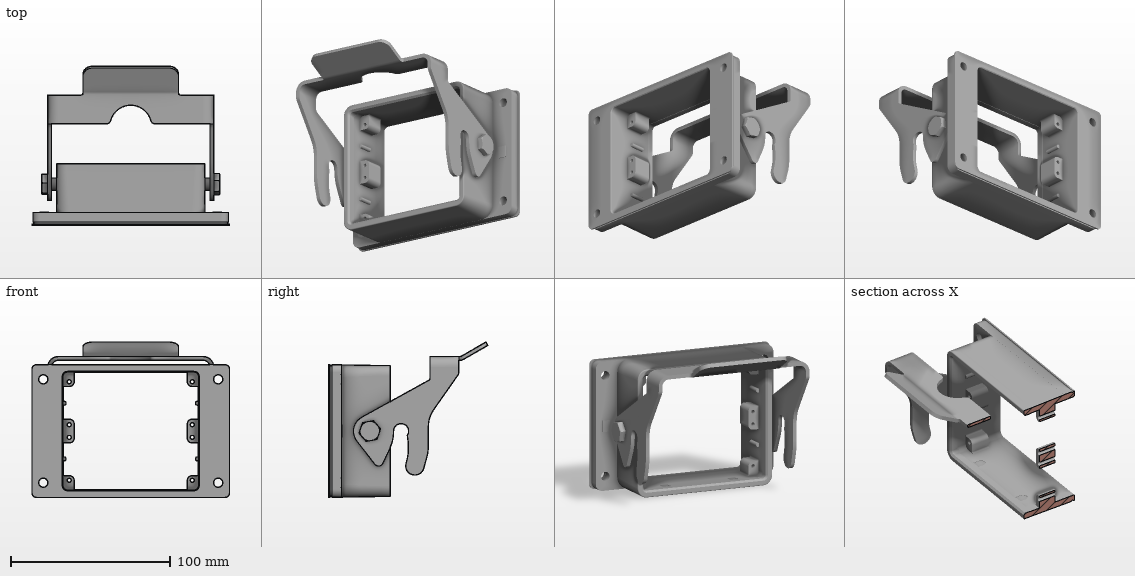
import cadquery as cq
import math

PLATE_WIDTH = 124.4
PLATE_HEIGHT = 83.6
PLATE_THICKNESS = 1.0
PLATE_CORNER_R = 3.0
GROOVE_WIDTH = 1.0
GROOVE_INSET = 0.6
RIM_WIDTH = 123.2
RIM_HEIGHT = 83.4
RIM_CORNER_R = 4.8
RIM_BACK_Y = 8.1
FLANGE_HOLE_X = 55.0
FLANGE_HOLE_Z = 32.5
FLANGE_HOLE_D = 5.6
FLANGE_HOLE_BACK_D = 5.8
PAD_WIDTH = 5.3
PAD_LENGTH = 7.4
PAD_HEIGHT = 0.4
PAD_CENTER_X = 54.5

BOX_FRONT_WIDTH = 93.4
BOX_BACK_WIDTH = 93.3
BOX_FRONT_HEIGHT = 83.3
BOX_BACK_HEIGHT = 82.5
BOX_FRONT_CORNER_R = 7.8
BOX_BACK_CORNER_R = 6.4
COLLAR_FRONT_Y = 33.6
BOX_BACK_Y = 38.8
BACK_EDGE_R = 0.6

CAVITY_WIDTH = 85.2
CAVITY_HEIGHT = 74.2
CAVITY_CORNER_R = 3.0
MOUTH_CHAMFER = 0.5
COLLAR_LIP = 0.2
COLLAR_LIP_RAMP = 1.2
BACK_MOUTH_CHAMFER = 1.2
COLLAR_CORNER_R = 2.0
RECESS_X = 23.4
RECESS_END_Y = 28.6
RECESS_R = 2.8
RECESS_DEPTH = 0.3

BOSS_INNER_X = 35.5
BOSS_FRONT_Y = 14.5
BOSS_BACK_Y = 27.0
BOSS_CORNER_R = 3.0
BOSS_FOOT_R = 1.0
BOSS_HOLE_X = 38.7
BOSS_HOLE_D = 2.4
MID_BOSS_HALF_HEIGHT = 7.5
MID_BOSS_HOLE_Z = 4.0
CORNER_BOSS_EDGE_Z = 28.0
CORNER_BOSS_HOLE_Z = 31.0
RIB_Z = 17.5
RIB_R = 1.3
RIB_TIP_X = 40.6
RIB_FRONT_Y = 17.6
RIB_LENGTH = 10.0
WALL_OVERLAP = 1.0

SHEET = 2.5
LEVER_HALF_WIDTH = 52.3
LEVER_TOP_Z = 46.9
LEVER_BEND_R = 6.8
BRIDGE_FRONT_Y = 63.75
BRIDGE_BACK_Y = 81.95
NOTCH_R = 13.0
NOTCH_CENTER_Y = 62.5
NOTCH_EDGE_R = 3.0
TAB_WIDTH = 60.2
TAB_ANGLE = 30.0
TAB_TOP_Z = 56.01
TAB_BEND_R = 2.6
TAB_ROOT_Y = 83.13
TAB_CORNER_R = 6.0
TAB_RELIEF_R = 1.5

PIVOT_Y = 25.9
PIVOT_LOBE_R = 10.0
SHAFT_D = 8.0
HEAD_ACROSS_FLATS = 12.0
HEAD_HEIGHT = 3.7
HEAD_CHAMFER_DEPTH = 0.5
HEAD_CHAMFER_INSET = 0.75
LEFT_HEAD_TURN = 24.0
RIGHT_HEAD_TURN = 11.0

CHEEK_CORNERS = [
    (BRIDGE_FRONT_Y, LEVER_TOP_Z, 0),
    (BRIDGE_FRONT_Y, 32.4, 1.5),
    (10.6, 3.0, PIVOT_LOBE_R),
    (32.0, -24.75, 3.0),
    (40.6, -6.6, 25.0),
    (41.2, 4.5, 4.3),
    (50.2, 4.5, 4.3),
    (50.2, -1.2, 0.5),
    (49.4, -2.8, 0.5),
    (50.0, -7.0, 8.0),
    (50.0, -14.5, 15.0),
    (47.0, -27.7, 5.7),
    (58.7, -27.7, 5.7),
    (62.8, -13.0, 30.0),
    (62.8, 8.7, 18.0),
    (BRIDGE_BACK_Y, 36.0, 4.0),
    (BRIDGE_BACK_Y, LEVER_TOP_Z, 0),
]


def block(x0, x1, y0, y1, z0, z1):
    """Axis-aligned block given by its limits."""
    size = (x1 - x0, y1 - y0, z1 - z0)
    return cq.Workplane("XY").box(*size, centered=False).translate((x0, y0, z0))


def rounded_slab(width, height, radius, y0, y1):
    """Rounded rectangle in XZ, centred on the Y axis, from y0 to y1."""
    return block(-width / 2, width / 2, y0, y1, -height / 2, height / 2).edges("|Y").fillet(radius)


def rod_y(x, z, diameter, y0, y1):
    """Cylinder along Y."""
    return cq.Workplane("XZ", origin=(x, y0, z)).circle(diameter / 2).extrude(y0 - y1)


def rounded_outline(plane, corners):
    """Closed wire through the corners, each rounded by a tangent arc of its own radius.

    The first corner is sharp.
    """
    points = [cq.Vector(a, b) for a, b, _ in corners]
    stretches = []
    for i, (_, _, radius) in enumerate(corners):
        corner = points[i]
        to_previous = (points[i - 1] - corner).normalized()
        to_next = (points[(i + 1) % len(points)] - corner).normalized()
        if radius == 0:
            stretches.append((corner,))
            continue
        half_angle = to_previous.getAngle(to_next) / 2
        setback = radius / math.tan(half_angle)
        bisector = (to_previous + to_next).normalized()
        middle = corner + bisector * (radius / math.sin(half_angle) - radius)
        stretches.append((corner + to_previous * setback, middle, corner + to_next * setback))

    outline = plane.moveTo(*stretches[0][0].toTuple()[:2])
    for stretch in stretches[1:]:
        outline = outline.lineTo(*stretch[0].toTuple()[:2])
        if len(stretch) == 3:
            outline = outline.threePointArc(stretch[1].toTuple()[:2], stretch[2].toTuple()[:2])
    return outline.close()


def make_flange():
    groove_end = PLATE_THICKNESS + GROOVE_WIDTH
    plate = rounded_slab(PLATE_WIDTH, PLATE_HEIGHT, PLATE_CORNER_R, 0, PLATE_THICKNESS)
    neck_width = RIM_WIDTH - 2 * GROOVE_INSET
    neck_height = RIM_HEIGHT - 2 * GROOVE_INSET
    neck = rounded_slab(neck_width, neck_height, RIM_CORNER_R - GROOVE_INSET, PLATE_THICKNESS, groove_end)
    rim = rounded_slab(RIM_WIDTH, RIM_HEIGHT, RIM_CORNER_R, groove_end, RIM_BACK_Y)
    flange = plate.union(neck).union(rim)
    for side in (-1, 1):
        x = side * PAD_CENTER_X
        half_width = PAD_WIDTH / 2
        half_length = PAD_LENGTH / 2
        pad_back = RIM_BACK_Y + PAD_HEIGHT
        pad = block(x - half_width, x + half_width, groove_end, pad_back, -half_length, half_length)
        flange = flange.union(pad)
        for z in (-FLANGE_HOLE_Z, FLANGE_HOLE_Z):
            hole_x = side * FLANGE_HOLE_X
            flange = flange.cut(rod_y(hole_x, z, FLANGE_HOLE_D, 0, groove_end))
            flange = flange.cut(rod_y(hole_x, z, FLANGE_HOLE_BACK_D, groove_end, RIM_BACK_Y + PAD_HEIGHT))
    return flange


def make_box():
    front = cq.Sketch().rect(BOX_FRONT_WIDTH, BOX_FRONT_HEIGHT).vertices().fillet(BOX_FRONT_CORNER_R)
    back = cq.Sketch().rect(BOX_BACK_WIDTH, BOX_BACK_HEIGHT).vertices().fillet(BOX_BACK_CORNER_R)
    body_length = COLLAR_FRONT_Y - RIM_BACK_Y
    body = (
        cq.Workplane("XZ", origin=(0, RIM_BACK_Y, 0))
        .placeSketch(front, back.moved(cq.Location(cq.Vector(0, 0, -body_length))))
        .loft()
    )
    collar = rounded_slab(BOX_BACK_WIDTH, BOX_BACK_HEIGHT, BOX_BACK_CORNER_R, COLLAR_FRONT_Y, BOX_BACK_Y)
    return body.union(collar.faces(">Y").edges().fillet(BACK_EDGE_R))


def flared_mouth(width, height, radius, face_y, flare):
    """Cutter that flares a rounded opening at 45 degrees toward its face at face_y.

    A positive flare opens toward +Y, a negative one toward -Y.
    """
    size = abs(flare)
    throat = cq.Sketch().rect(width, height).vertices().fillet(radius)
    rim = cq.Sketch().rect(width + 2 * size, height + 2 * size).vertices().fillet(radius + size)
    return (
        cq.Workplane("XZ", origin=(0, face_y, 0))
        .placeSketch(throat.moved(cq.Location(cq.Vector(0, 0, flare))), rim)
        .loft()
    )


def make_cavity():
    cavity = rounded_slab(CAVITY_WIDTH, CAVITY_HEIGHT, CAVITY_CORNER_R, 0, COLLAR_FRONT_Y)
    cavity = cavity.faces(">Y").edges().chamfer(COLLAR_LIP_RAMP, COLLAR_LIP)
    mouth = flared_mouth(CAVITY_WIDTH, CAVITY_HEIGHT, CAVITY_CORNER_R, 0, -MOUTH_CHAMFER)
    back_width = CAVITY_WIDTH - 2 * COLLAR_LIP
    back_height = CAVITY_HEIGHT - 2 * COLLAR_LIP
    ramp_start = COLLAR_FRONT_Y - COLLAR_LIP_RAMP
    back_opening = rounded_slab(back_width, back_height, COLLAR_CORNER_R, ramp_start, BOX_BACK_Y)
    back_mouth = flared_mouth(back_width, back_height, COLLAR_CORNER_R, BOX_BACK_Y, BACK_MOUTH_CHAMFER)
    cavity = cavity.union(mouth).union(back_opening).union(back_mouth)
    floor_z = -CAVITY_HEIGHT / 2
    for x in (-RECESS_X, RECESS_X):
        end_plane = cq.Workplane("XY", origin=(x, RECESS_END_Y, floor_z))
        rounded_end = end_plane.circle(RECESS_R).extrude(-RECESS_DEPTH)
        channel = block(
            x - RECESS_R, x + RECESS_R, RECESS_END_Y, ramp_start, floor_z - RECESS_DEPTH, floor_z
        )
        cavity = cavity.union(rounded_end).union(channel)
    return cavity


def side_boss(side, z0, z1, rounded_edges, hole_heights):
    """Screw boss on one side wall, with its exposed long edges rounded."""
    wall_x = CAVITY_WIDTH / 2 + WALL_OVERLAP
    x0, x1 = sorted((side * BOSS_INNER_X, side * wall_x))
    inner_face = "<X" if side > 0 else ">X"
    boss = block(x0, x1, BOSS_FRONT_Y, BOSS_BACK_Y, z0, z1)
    boss = boss.faces(inner_face).edges(rounded_edges).fillet(BOSS_CORNER_R)
    for z in hole_heights:
        boss = boss.cut(rod_y(side * BOSS_HOLE_X, z, BOSS_HOLE_D, BOSS_FRONT_Y, BOSS_BACK_Y))
    return boss


def make_inner_details():
    outer_z = CAVITY_HEIGHT / 2 + WALL_OVERLAP
    details = cq.Workplane("XY")
    for side in (-1, 1):
        mid_holes = (-MID_BOSS_HOLE_Z, MID_BOSS_HOLE_Z)
        details = details.add(side_boss(side, -MID_BOSS_HALF_HEIGHT, MID_BOSS_HALF_HEIGHT, "|Y", mid_holes))
        details = details.add(side_boss(side, CORNER_BOSS_EDGE_Z, outer_z, "<Z", (CORNER_BOSS_HOLE_Z,)))
        details = details.add(side_boss(side, -outer_z, -CORNER_BOSS_EDGE_Z, ">Z", (-CORNER_BOSS_HOLE_Z,)))
        for z in (-RIB_Z, RIB_Z):
            rib_x = side * (RIB_TIP_X + RIB_R)
            details = details.add(rod_y(rib_x, z, 2 * RIB_R, RIB_FRONT_Y, RIB_FRONT_Y + RIB_LENGTH))
    return details.vals()


def round_boss_feet(housing):
    """Blend the corner bosses into the side walls and into the floor and ceiling of the cavity."""
    wall_x = CAVITY_WIDTH / 2
    floor_z = CAVITY_HEIGHT / 2
    middle_y = (BOSS_FRONT_Y + BOSS_BACK_Y) / 2
    feet = []
    for x in (-wall_x, wall_x):
        feet += [(x, -CORNER_BOSS_EDGE_Z), (x, CORNER_BOSS_EDGE_Z)]
    for x in (-BOSS_INNER_X, BOSS_INNER_X):
        feet += [(x, -floor_z), (x, floor_z)]
    for x, z in feet:
        foot = cq.selectors.NearestToPointSelector((x, middle_y, z))
        housing = housing.edges("|Y").edges(foot).fillet(BOSS_FOOT_R)
    return housing


def make_lever():
    cheek_profile = rounded_outline(cq.Workplane("YZ", origin=(-LEVER_HALF_WIDTH, 0, 0)), CHEEK_CORNERS)
    cheek_sweep = cheek_profile.extrude(2 * LEVER_HALF_WIDTH)

    bottom_z = min(z for _, z, _ in CHEEK_CORNERS) - SHEET
    inner_x = LEVER_HALF_WIDTH - SHEET
    outer = block(-LEVER_HALF_WIDTH, LEVER_HALF_WIDTH, 0, BRIDGE_BACK_Y, bottom_z, LEVER_TOP_Z)
    inner = block(-inner_x, inner_x, 0, BRIDGE_BACK_Y, bottom_z, LEVER_TOP_Z - SHEET)
    outer = outer.edges("|Y and >Z").fillet(LEVER_BEND_R)
    inner = inner.edges("|Y and >Z").fillet(LEVER_BEND_R - SHEET)
    lever = cheek_sweep.intersect(outer.cut(inner))

    notch = cq.Workplane("XY", origin=(0, NOTCH_CENTER_Y, 0)).circle(NOTCH_R).extrude(LEVER_TOP_Z)
    lever = lever.cut(notch)
    notch_edges = cq.selectors.BoxSelector(
        (-NOTCH_R, BRIDGE_FRONT_Y - SHEET, LEVER_TOP_Z - SHEET),
        (NOTCH_R, BRIDGE_FRONT_Y + SHEET, LEVER_TOP_Z),
    )
    return lever.edges(notch_edges).edges("|Z").fillet(NOTCH_EDGE_R)


def make_tab():
    angle = math.radians(TAB_ANGLE)
    along = (math.cos(angle), math.sin(angle))
    tip_y = TAB_ROOT_Y + (TAB_TOP_Z - LEVER_TOP_Z) / math.tan(angle)
    bend_shift = SHEET * math.tan(angle / 2)
    under_tip = (tip_y + SHEET * along[1], TAB_TOP_Z - SHEET * along[0])
    half_width = TAB_WIDTH / 2
    tab = (
        cq.Workplane("YZ", origin=(-half_width, 0, 0))
        .moveTo(BRIDGE_BACK_Y, LEVER_TOP_Z)
        .lineTo(TAB_ROOT_Y, LEVER_TOP_Z)
        .lineTo(tip_y, TAB_TOP_Z)
        .lineTo(*under_tip)
        .lineTo(TAB_ROOT_Y + bend_shift, LEVER_TOP_Z - SHEET)
        .lineTo(BRIDGE_BACK_Y, LEVER_TOP_Z - SHEET)
        .close()
        .extrude(TAB_WIDTH)
    )
    tip_edges = cq.selectors.BoxSelector(
        (-TAB_WIDTH, tip_y - SHEET, under_tip[1] - SHEET),
        (TAB_WIDTH, under_tip[0] + SHEET, TAB_TOP_Z + SHEET),
    )
    tab = tab.edges(tip_edges).edges(cq.selectors.ParallelDirSelector(cq.Vector(0, -along[1], along[0])))
    tab = tab.fillet(TAB_CORNER_R)
    top_bend = cq.selectors.NearestToPointSelector((0, TAB_ROOT_Y, LEVER_TOP_Z))
    tab = tab.edges(top_bend).fillet(TAB_BEND_R)
    under_bend = cq.selectors.NearestToPointSelector((0, TAB_ROOT_Y + bend_shift, LEVER_TOP_Z - SHEET))
    tab = tab.edges(under_bend).fillet(TAB_BEND_R + SHEET)
    for side in (-1, 1):
        x = side * half_width
        x0, x1 = sorted((x, x + side * TAB_RELIEF_R))
        relief_end = BRIDGE_BACK_Y + TAB_RELIEF_R
        flare = block(x0, x1, BRIDGE_BACK_Y, relief_end, LEVER_TOP_Z - SHEET, LEVER_TOP_Z)
        scoop = (
            cq.Workplane("XY", origin=(x + side * TAB_RELIEF_R, relief_end, 0))
            .circle(TAB_RELIEF_R)
            .extrude(LEVER_TOP_Z)
        )
        tab = tab.union(flare.cut(scoop))
    return tab


def make_pivot(side, head_turn):
    """Shaft through wall and cheek, with a chamfered hexagon head outside the cheek."""
    shaft_start = CAVITY_WIDTH / 2 + WALL_OVERLAP
    plane = cq.Workplane("YZ", origin=(side * shaft_start, PIVOT_Y, 0))
    shaft = plane.circle(SHAFT_D / 2).extrude(side * (LEVER_HALF_WIDTH - shaft_start))
    corner_d = HEAD_ACROSS_FLATS / math.cos(math.pi / 6)
    head_plane = cq.Workplane("YZ", origin=(side * LEVER_HALF_WIDTH, PIVOT_Y, 0))
    head = head_plane.polygon(6, corner_d).extrude(side * HEAD_HEIGHT)
    head = head.rotate((0, PIVOT_Y, 0), (1, PIVOT_Y, 0), head_turn)
    outer_face = ">X" if side > 0 else "<X"
    blank = head_plane.circle(corner_d / 2).extrude(side * HEAD_HEIGHT)
    blank = blank.faces(outer_face).edges().chamfer(HEAD_CHAMFER_DEPTH, HEAD_CHAMFER_INSET)
    return shaft.union(head.intersect(blank))


result = make_flange().union(make_box()).cut(make_cavity())
for detail in make_inner_details():
    result = result.union(cq.Workplane(obj=detail))
result = round_boss_feet(result)
result = result.union(make_lever()).union(make_tab())
result = result.union(make_pivot(-1, LEFT_HEAD_TURN)).union(make_pivot(1, RIGHT_HEAD_TURN))